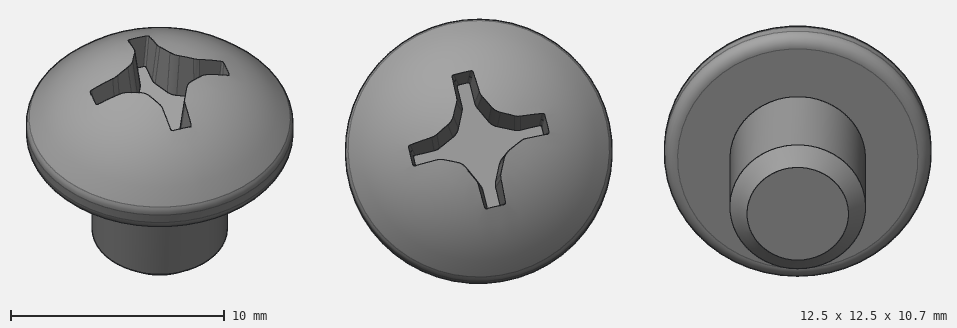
import cadquery as cq
import math

shank_radius = 3.18
shank_length = 6.35
tip_chamfer = 0.8

head_radius = 6.25
rim_fillet = 0.62
dome_radius = 7.79
apex_height = 10.8

recess_floor_height = 8.34
recess_overshoot = 0.25
recess_draft = 6.5
arm_width = 0.61
arm_half_width = arm_width / 2
arm_length = 3.09
arm_root = 1.94
flare_angle = 25.6
inner_corner_fillet = 0.75
root_fillet = 0.62
tip_fillet = 0.1


def make_body():
    """Revolve the shank and domed head, with the rim rounding tangent to the dome."""
    dome_center = apex_height - dome_radius
    fillet_center = head_radius - rim_fillet
    tangent_angle = math.acos(fillet_center / (dome_radius - rim_fillet))
    rim_top = dome_center + (dome_radius - rim_fillet) * math.sin(tangent_angle)
    rim_bottom = shank_length + rim_fillet

    def on_dome(angle):
        return dome_radius * math.cos(angle), dome_center + dome_radius * math.sin(angle)

    def on_arc(center_height, angle):
        return fillet_center + rim_fillet * math.cos(angle), center_height + rim_fillet * math.sin(angle)

    profile = (
        cq.Workplane("XZ")
        .lineTo(shank_radius - tip_chamfer, 0)
        .lineTo(shank_radius, tip_chamfer)
        .lineTo(shank_radius, shank_length)
        .lineTo(fillet_center, shank_length)
        .threePointArc(on_arc(rim_bottom, -math.pi / 4), (head_radius, rim_bottom))
        .lineTo(head_radius, rim_top)
        .threePointArc(on_arc(rim_top, tangent_angle / 2), on_dome(tangent_angle))
        .threePointArc(on_dome((tangent_angle + math.pi / 2) / 2), (0, apex_height))
        .close()
    )
    return profile.revolve(360, (0, 0), (0, 1))


def round_corners(cutter, corner_radius, fillet):
    """Round the sloping cutter edges that start at a given distance from the axis on the floor."""
    tolerance = 0.001

    def starts_at_corner(edge):
        start, end = sorted((edge.startPoint(), edge.endPoint()), key=lambda point: point.z)
        rises = end.z - start.z > tolerance
        return rises and abs(math.hypot(start.x, start.y) - corner_radius) < tolerance

    return cutter.edges().filter(starts_at_corner).fillet(fillet)


def flare_meeting_point(half_width, root):
    """Coordinate, equal in X and Y, where the flares of neighboring arms meet."""
    flare = math.tan(math.radians(flare_angle))
    return (half_width + flare * root) / (1 + flare)


def cross_outline(growth):
    """Corners of the cross with every side moved outward by the given growth."""
    half_width = arm_half_width + growth
    length = arm_length + growth
    root = arm_root + growth * math.tan(math.radians(flare_angle / 2))
    inner = flare_meeting_point(half_width, root)
    arm_points = [
        (root, -half_width),
        (length, -half_width),
        (length, half_width),
        (root, half_width),
        (inner, inner),
    ]
    outline = []
    for _ in range(4):
        outline += arm_points
        arm_points = [(-y, x) for x, y in arm_points]
    return outline


def make_recess():
    """Make the four-armed cutter, widening upward from its flat floor."""
    depth = apex_height + recess_overshoot - recess_floor_height
    top_growth = depth * math.tan(math.radians(recess_draft))
    cutter = (
        cq.Workplane("XY", origin=(0, 0, recess_floor_height))
        .polyline(cross_outline(0))
        .close()
        .workplane(offset=depth)
        .polyline(cross_outline(top_growth))
        .close()
        .loft(ruled=True)
    )
    inner_corner = flare_meeting_point(arm_half_width, arm_root)
    for corner_radius, fillet in (
        (math.hypot(inner_corner, inner_corner), inner_corner_fillet),
        (math.hypot(arm_root, arm_half_width), root_fillet),
        (math.hypot(arm_length, arm_half_width), tip_fillet),
    ):
        cutter = round_corners(cutter, corner_radius, fillet)
    return cutter


result = make_body().cut(make_recess())